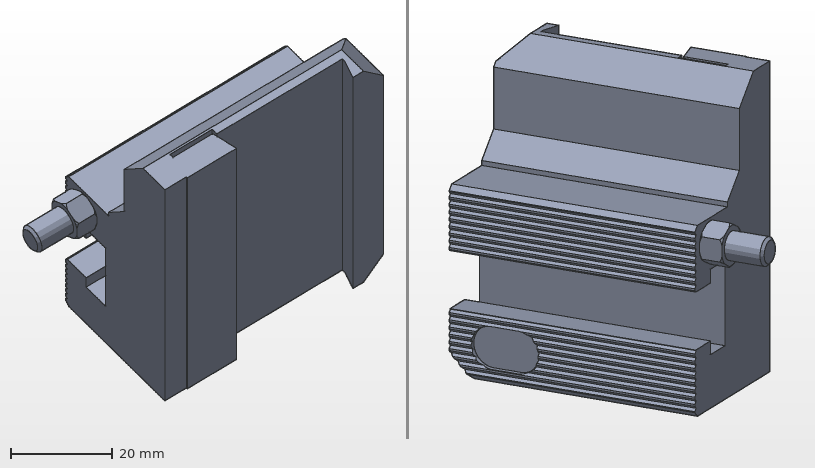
import cadquery as cq
import math


BODY_WIDTH = 32.05
BODY_LENGTH = 54.95
HEIGHT = 65.0
BEVEL_TOP_X = 25.0
UPPER_BEVEL = 6.0
UPRIGHT_X = BEVEL_TOP_X - UPPER_BEVEL
LOWER_BEVEL = 5.1
RIDGE_X = UPRIGHT_X - LOWER_BEVEL
SHELF_Z = 39.95
RIDGE_STEP = 1.0
EDGE_CHAMFER = 1.1
REAR_CHAMFER = 5.1

SLOT_MID_Z = 20.15
SLOT_MOUTH = 12.1
SLOT_HEAD = 17.9
SLOT_LIP = 6.7
SLOT_DEPTH = 12.95

TOOTH_PITCH = 1.5
TOOTH_DEPTH = 0.55
FIRST_GROOVE = 1.85
GROOVES_PER_LAND = 9

OVAL_LENGTH = 15.0
OVAL_WIDTH = 9.0
OVAL_DEPTH = 1.2
OVAL_Y = 42.55
OVAL_Z = 7.4

RAIL_FLOOR_X = 27.0
RAIL_START_Y = 17.0
RAIL_END_Y = 48.5
HOOK_FLAT = 0.8
HOOK_TIP_Y = 47.2

JAW_INNER_X = 26.45
JAW_OUTER_X = 32.3
JAW_START_Y = 5.4
JAW_HEEL_Y = 16.4
JAW_TIP_Y = 17.8
GAP_FLOOR_X = 25.5
GAP_START_Y = 6.45

STUD_X = 6.1
STUD_Z = 35.0
STUD_DIAMETER = 6.0
STUD_LENGTH = 13.55
STUD_CHAMFER = 0.6
NUT_FLATS = 8.1
NUT_LENGTH = 5.0
NUT_CHAMFER = 0.5


def prism_along_z(points):
    """Full-height prism from an XY outline."""
    return cq.Workplane("XY").polyline(points).close().extrude(HEIGHT)


def stud_plane():
    """Plane on the front face, centred on the stud axis and facing outwards."""
    return cq.Workplane(cq.Plane((STUD_X, 0, STUD_Z), (1, 0, 0), (0, -1, 0)))


def make_body():
    ridge_z = SHELF_Z + RIDGE_STEP
    mouth_low = SLOT_MID_Z - SLOT_MOUTH / 2
    mouth_high = SLOT_MID_Z + SLOT_MOUTH / 2
    head_low = SLOT_MID_Z - SLOT_HEAD / 2
    head_high = SLOT_MID_Z + SLOT_HEAD / 2
    profile = [
        (EDGE_CHAMFER, 0),
        (BODY_WIDTH, 0),
        (BODY_WIDTH, HEIGHT),
        (BEVEL_TOP_X, HEIGHT),
        (UPRIGHT_X, HEIGHT - UPPER_BEVEL),
        (UPRIGHT_X, ridge_z + LOWER_BEVEL),
        (RIDGE_X, ridge_z),
        (RIDGE_X, SHELF_Z),
        (EDGE_CHAMFER, SHELF_Z),
        (0, SHELF_Z - EDGE_CHAMFER),
        (0, mouth_high),
        (SLOT_LIP, mouth_high),
        (SLOT_LIP, head_high),
        (SLOT_DEPTH, head_high),
        (SLOT_DEPTH, head_low),
        (SLOT_LIP, head_low),
        (SLOT_LIP, mouth_low),
        (0, mouth_low),
        (0, EDGE_CHAMFER),
    ]
    body = cq.Workplane("XZ").polyline(profile).close().extrude(-BODY_LENGTH)
    rear_edges = body.faces(">Y").edges(">Z or <Z")
    return rear_edges.chamfer(REAR_CHAMFER)


def make_groove(z):
    """V-groove along Y with its root at height z."""
    outline = [(0, z - TOOTH_DEPTH), (TOOTH_DEPTH, z), (0, z + TOOTH_DEPTH)]
    return cq.Workplane("XZ").polyline(outline).close().extrude(-BODY_LENGTH)


def cut_serrations(body):
    for index in range(GROOVES_PER_LAND):
        offset = FIRST_GROOVE + index * TOOTH_PITCH
        body = body.cut(make_groove(offset))
        body = body.cut(make_groove(SHELF_Z - offset))
    return body


def make_oval_recess():
    plane = cq.Workplane(cq.Plane((0, OVAL_Y, OVAL_Z), (0, 1, 0), (1, 0, 0)))
    return plane.slot2D(OVAL_LENGTH, OVAL_WIDTH).extrude(OVAL_DEPTH)


def make_rail_channel():
    return prism_along_z([
        (RAIL_FLOOR_X, GAP_START_Y),
        (BODY_WIDTH, GAP_START_Y),
        (BODY_WIDTH, HOOK_TIP_Y),
        (RAIL_FLOOR_X + HOOK_FLAT, RAIL_END_Y),
        (RAIL_FLOOR_X, RAIL_END_Y),
    ])


def make_jaw_gap():
    return prism_along_z([
        (GAP_FLOOR_X, GAP_START_Y),
        (RAIL_FLOOR_X, GAP_START_Y),
        (RAIL_FLOOR_X, RAIL_START_Y),
        (GAP_FLOOR_X, RAIL_START_Y),
    ])


def make_jaw():
    return prism_along_z([
        (JAW_INNER_X, JAW_START_Y),
        (JAW_OUTER_X, JAW_START_Y),
        (JAW_OUTER_X, JAW_TIP_Y),
        (JAW_INNER_X, JAW_HEEL_Y),
    ])


def make_nut():
    corner_diameter = NUT_FLATS / math.cos(math.pi / 6)
    sketch_plane = stud_plane().transformed(rotate=(0, 0, 90))
    hexagon = sketch_plane.polygon(6, corner_diameter).extrude(NUT_LENGTH)
    coned_bar = stud_plane().circle(corner_diameter / 2).extrude(NUT_LENGTH)
    coned_bar = coned_bar.faces("<Y or >Y").chamfer(NUT_CHAMFER)
    return hexagon.intersect(coned_bar)


def make_stud():
    stud = stud_plane().circle(STUD_DIAMETER / 2).extrude(STUD_LENGTH)
    return stud.faces("<Y").chamfer(STUD_CHAMFER)


result = (
    cut_serrations(make_body())
    .cut(make_oval_recess())
    .cut(make_rail_channel())
    .cut(make_jaw_gap())
    .union(make_jaw())
    .union(make_nut())
    .union(make_stud())
)